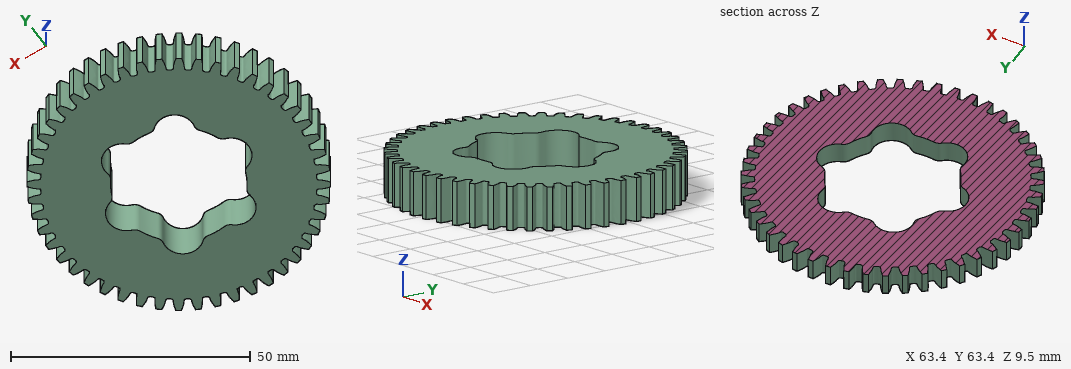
import cadquery as cq
import math

overall_size = 63.4
thickness = 9.5

tooth_count = 48
pressure_angle = math.radians(14.5)
addendum_factor = 1.0
dedendum_factor = 1.25
root_fillet = 0.5
flank_samples = 5

core_radius = 14.3
lobe_count = 6
lobe_radius = 4.4
lobe_offset = 13.1
bore_fillet = 2.0
tolerance = 0.005


def involute(angle):
    """Polar angle swept by an involute at the given pressure angle."""
    return math.tan(angle) - angle


def polar(radius, angle):
    return (radius * math.cos(angle), radius * math.sin(angle))


tooth_pitch = 2 * math.pi / tooth_count
half_tooth_at_pitch = tooth_pitch / 4
half_tooth_at_base = half_tooth_at_pitch + involute(pressure_angle)
tip_to_pitch_ratio = 1 + 2 * addendum_factor / tooth_count
tip_pressure_angle = math.acos(math.cos(pressure_angle) / tip_to_pitch_ratio)
half_tooth_at_tip = half_tooth_at_base - involute(tip_pressure_angle)

tip_radius = overall_size / 2 / math.cos(tooth_pitch / 2 - half_tooth_at_tip)
pitch_radius = tip_radius / tip_to_pitch_ratio
module = 2 * pitch_radius / tooth_count
base_radius = pitch_radius * math.cos(pressure_angle)
root_radius = pitch_radius - dedendum_factor * module

fillet_centre_radius = root_radius + root_fillet
fillet_sweep = math.asin(root_fillet / fillet_centre_radius)
half_tooth_at_root = half_tooth_at_base + fillet_sweep


def flank_points(middle, side):
    """Involute flank from base circle to tip; side is -1 or +1 about the tooth middle."""
    points = []
    for step in range(flank_samples):
        roll = math.tan(tip_pressure_angle) * step / (flank_samples - 1)
        local_angle = math.atan(roll)
        half_tooth = half_tooth_at_base - involute(local_angle)
        points.append(polar(base_radius / math.cos(local_angle), middle + side * half_tooth))
    return points


def fillet_middle(middle, side):
    """Point halfway along the root fillet on one side of a tooth."""
    centre_x, centre_y = polar(fillet_centre_radius, middle + side * half_tooth_at_root)
    facing = middle + side * half_tooth_at_base + math.pi + side * math.pi / 4
    offset_x, offset_y = polar(root_fillet, facing)
    return (centre_x + offset_x, centre_y + offset_y)


def space_points(middle):
    """Points down one flank, round the root of the tooth space and up the next flank."""
    tooth_before = middle - tooth_pitch / 2
    tooth_after = middle + tooth_pitch / 2
    return [
        *reversed(flank_points(tooth_before, 1)),
        fillet_middle(tooth_before, 1),
        polar(root_radius, tooth_before + half_tooth_at_root),
        polar(root_radius, tooth_after - half_tooth_at_root),
        fillet_middle(tooth_after, -1),
        *flank_points(tooth_after, -1),
    ]


def gear_blank():
    """Toothed disc, drawn counter-clockwise: one smooth curve per space, one arc per tooth tip."""
    first_corner = polar(tip_radius, half_tooth_at_tip - tooth_pitch / 2)
    outline = cq.Workplane("XY").moveTo(*first_corner)
    for tooth in range(tooth_count):
        space_middle = tooth * tooth_pitch
        tip_middle = space_middle + tooth_pitch / 2
        next_corner = polar(tip_radius, tip_middle + half_tooth_at_tip)
        outline = (
            outline
            .spline(space_points(space_middle)[1:], includeCurrent=True)
            .threePointArc(polar(tip_radius, tip_middle), next_corner)
        )
    return outline.close().extrude(thickness)


def lobed_bore():
    """Through bore: core and lobes joined, with the corners between them rounded."""
    bore = cq.Workplane("XY").circle(core_radius).extrude(thickness)
    lobes = (
        cq.Workplane("XY")
        .polarArray(lobe_offset, 0, 360, lobe_count)
        .circle(lobe_radius)
        .extrude(thickness)
    )
    return (
        bore.union(lobes)
        .edges("|Z")
        .filter(lambda edge: math.hypot(edge.Center().x, edge.Center().y) < core_radius + tolerance)
        .fillet(bore_fillet)
    )


result = gear_blank().cut(lobed_bore())